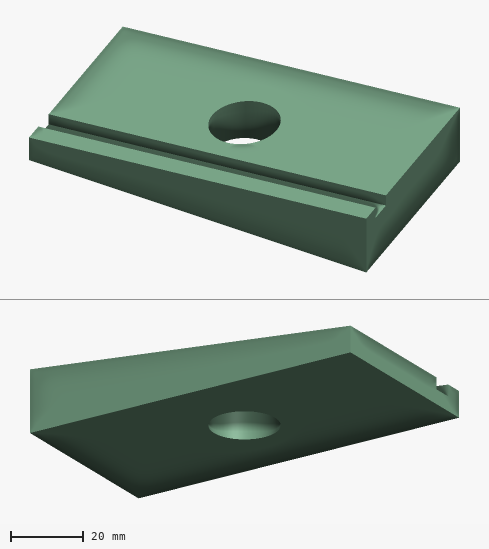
import cadquery as cq

length = 105.0
width = 55.0
thin_end_height = 8.0
thick_end_height = 19.0

groove_width = 6.1
groove_depth = 3.6
front_rail_width = 5.5

hole_diameter = 20.0


def wedge(depth, lowering=0.0):
    """Wedge extending back from the front side, with its top lowered vertically."""
    return (
        cq.Workplane("XZ")
        .polyline([
            (0, 0),
            (length, 0),
            (length, thick_end_height - lowering),
            (0, thin_end_height - lowering),
        ])
        .close()
        .extrude(-depth)
    )


body = wedge(width)

groove = wedge(groove_width).cut(wedge(groove_width, groove_depth))
body = body.cut(groove.translate((0, front_rail_width, 0)))

hole = (
    cq.Workplane("XY")
    .center(length / 2, width / 2)
    .circle(hole_diameter / 2)
    .extrude(thick_end_height)
)

result = body.cut(hole)